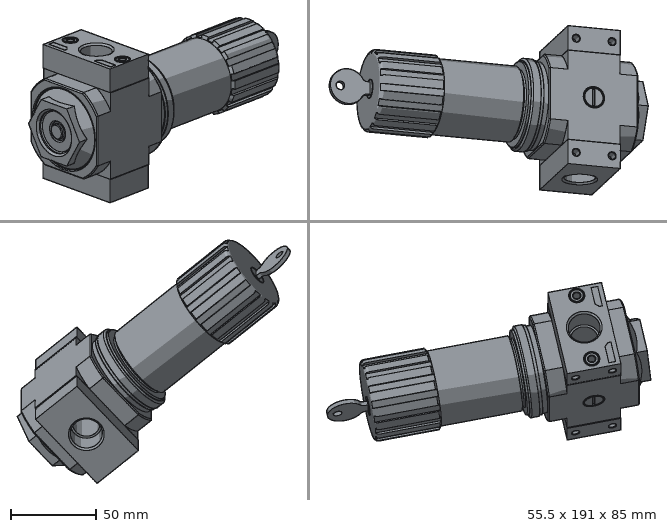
import cadquery as cq
import math


housing_width = 55.0
half_housing = housing_width / 2
block_length = 32.3
corner_radius = 31.7
housing_edge_chamfer = 0.8
cap_seat_radius = 25.2
cap_seat_depth = 2.0
cap_seat_chamfer = 0.5

overall_height = 85.0
plate_thickness = (overall_height - housing_width) / 2
plate_offset_x = -0.5
port_diameter = 16.0
port_counterbore_diameter = 18.7
port_mouth_diameter = 21.0
mark_depth = 0.2

tapped_core_diameter = 4.2
tapped_mouth_diameter = 5.0
tapped_depth = 7.6
drill_half_angle = 59.0
mounting_hole_y = 11.0
mounting_hole_z = 35.1

screw_spacing = 42.8
screw_diameter = 8.5
screw_mouth_diameter = 9.5

plug_diameter = 12.2
plug_mouth_diameter = 13.2
plug_depth = 3.8
plug_slot_width = 1.1
plug_slot_length = 10.1
plug_slot_depth = 1.0

cap_end_y = -35.7
hex_across_flats = 36.3
hex_turn_angle = 30.0
cone_base_radius = 24.6
cone_tip_radius = 18.0
cone_base_y = -26.7
cone_tip_y = -31.3
cap_recess_diameter = 26.4
cap_recess_mouth_diameter = 29.0
cap_recess_floor_diameter = 24.8
cap_recess_depth = 3.0
stem_hole_diameter = 13.2
stem_hole_floor_diameter = 11.5
stem_hole_depth = 0.8
stem_diameter = 9.5
stem_tip_diameter = 8.4
stem_length = 2.0

groove_radius = 26.2
lip_radius = 27.0
nut_chamfer_radius = 26.2
washer_radius = 25.4
neck_base_radius = 20.8
neck_radius = 20.2
lip_start_y = 30.5
nut_start_y = 32.5
nut_chamfer_y = 37.2
washer_start_y = 38.2
washer_end_y = 39.5
neck_start_y = 40.5
sleeve_start_y = 41.8

sleeve_radius = 22.5
knob_start_y = 90.5
knob_end_y = 130.5
knob_radius = 24.5
knob_start_bevel = 1.3
knob_end_round = 2.7
groove_count = 16
groove_width = 4.2
groove_floor_radius = 23.0

lock_x = -3.2
lock_diameter = 11.3
lock_height = 0.4
key_thickness = 2.7
key_end_y = cap_end_y + 191
key_bow_radius = 10.7
key_neck_width = 7.6
key_neck_fillet = 3.0
key_hole_diameter = 5.2
key_hole_y = 149.2


def revolve_about_y(points):
    """Solid of revolution about Y from (radius, y) points."""
    return cq.Workplane("XY").polyline(points).close().revolve(360, (0, 0, 0), (0, 1, 0))


def mouthed_cylinder(diameter, depth, mouth_diameter, tip_height=0.0):
    """Cylinder below Z = 0, bevelled at 45 degrees to a wider or narrower mouth; the tip is a cone."""
    radius = diameter / 2
    mouth_radius = mouth_diameter / 2
    profile = cq.Workplane("XZ").polyline([
        (0, 0),
        (mouth_radius, 0),
        (radius, -abs(mouth_radius - radius)),
        (radius, -depth),
        (0, -depth - tip_height),
    ])
    return profile.close().revolve(360, (0, 0, 0), (0, 1, 0))


def tapped_hole():
    """Cutter for a drilled and countersunk hole, entering downward from Z = 0."""
    tip_height = tapped_core_diameter / 2 / math.tan(math.radians(drill_half_angle))
    return mouthed_cylinder(tapped_core_diameter, tapped_depth, tapped_mouth_diameter, tip_height)


def face_minus_x(shape, x):
    """Turn a shape that points down from Z = 0 so that it enters a -X side at x."""
    return shape.rotate((0, 0, 0), (0, 1, 0), -90).translate((x, 0, 0))


def make_housing():
    block = cq.Workplane("XY").box(housing_width, block_length, housing_width)
    rounding = cq.Workplane("XZ").circle(corner_radius).extrude(half_housing, both=True)
    ends = cq.Workplane("XY").box(housing_width, housing_width, housing_width).intersect(rounding)
    ends = ends.faces("<Y or >Y").chamfer(housing_edge_chamfer)
    seat_floor_y = -half_housing + cap_seat_depth
    cap_seat = revolve_about_y([
        (0, seat_floor_y),
        (cap_seat_radius, seat_floor_y),
        (cap_seat_radius, -half_housing + cap_seat_chamfer),
        (cap_seat_radius + cap_seat_chamfer, -half_housing),
        (0, -half_housing),
    ])
    port = cq.Workplane("XY").circle(port_diameter / 2).extrude(half_housing, both=True)
    plug_hole = mouthed_cylinder(plug_diameter, plug_depth, plug_mouth_diameter)
    plug_hole = face_minus_x(plug_hole, -half_housing)
    return block.union(ends).cut(cap_seat).cut(port).cut(plug_hole)


def make_plate():
    """Plain upper plate with its port and its two mounting holes."""
    top_z = overall_height / 2
    plate = (
        cq.Workplane("XY")
        .box(housing_width, block_length, plate_thickness)
        .translate((plate_offset_x, 0, top_z - plate_thickness / 2))
    )
    port = mouthed_cylinder(port_counterbore_diameter, plate_thickness, port_mouth_diameter)
    plate = plate.cut(port.translate((0, 0, top_z)))
    side_hole = face_minus_x(tapped_hole(), plate_offset_x - half_housing)
    for y in (-mounting_hole_y, mounting_hole_y):
        plate = plate.cut(side_hole.translate((0, y, mounting_hole_z)))
    return plate


def make_flow_mark():
    """Shallow recess beside the screw on the -X half, with one sloping corner."""
    inner_x, slope_x, outer_x = -12.2, -14.3, -25.4
    near_y, slope_y, far_y = -9.4, -11.7, -13.4
    return (
        cq.Workplane("XY")
        .polyline([
            (outer_x, near_y),
            (slope_x, near_y),
            (inner_x, slope_y),
            (inner_x, far_y),
            (outer_x, far_y),
        ])
        .close()
        .extrude(-mark_depth)
    )


def make_upper_plate():
    top_z = overall_height / 2
    plate = make_plate()
    screw_hole = mouthed_cylinder(screw_diameter, plate_thickness, screw_mouth_diameter)
    for x in (-screw_spacing / 2, screw_spacing / 2):
        plate = plate.cut(screw_hole.translate((x, 0, top_z)))
    mark = make_flow_mark()
    for flow_mark in (mark, mark.mirror("YZ")):
        plate = plate.cut(flow_mark.translate((plate_offset_x, 0, top_z)))
    return plate


def make_screw(x):
    """Flush screw as long as the plate is thick, with a tapped hole in its head."""
    top_diameter = 2 * screw_diameter - screw_mouth_diameter
    screw = mouthed_cylinder(screw_diameter, plate_thickness, top_diameter).cut(tapped_hole())
    return screw.translate((x, 0, overall_height / 2))


def make_plug():
    face_diameter = 2 * plug_diameter - plug_mouth_diameter
    slot = cq.Workplane("XY").rect(plug_slot_length, plug_slot_width).extrude(-plug_slot_depth)
    plug = mouthed_cylinder(plug_diameter, plug_depth, face_diameter).cut(slot)
    return face_minus_x(plug, -half_housing)


def make_cap():
    seat_floor_y = -half_housing + cap_seat_depth
    base = revolve_about_y([
        (0, seat_floor_y),
        (cap_seat_radius, seat_floor_y),
        (cap_seat_radius, cone_base_y),
        (cone_base_radius, cone_base_y),
        (cone_tip_radius, cone_tip_y),
        (0, cone_tip_y),
    ])
    hexagon = (
        cq.Workplane("XZ")
        .workplane(offset=-seat_floor_y)
        .polygon(6, hex_across_flats, circumscribed=True)
        .extrude(seat_floor_y - cap_end_y)
        .rotate((0, 0, 0), (0, 1, 0), hex_turn_angle)
    )
    cap = base.union(hexagon)

    recess_radius = cap_recess_diameter / 2
    mouth_radius = cap_recess_mouth_diameter / 2
    floor_radius = cap_recess_floor_diameter / 2
    recess_floor_y = cap_end_y + cap_recess_depth
    stem_floor_y = recess_floor_y + stem_hole_depth
    recess = revolve_about_y([
        (0, cap_end_y),
        (mouth_radius, cap_end_y),
        (recess_radius, cap_end_y + mouth_radius - recess_radius),
        (recess_radius, recess_floor_y - recess_radius + floor_radius),
        (floor_radius, recess_floor_y),
        (stem_hole_diameter / 2, recess_floor_y),
        (stem_hole_floor_diameter / 2, stem_floor_y),
        (0, stem_floor_y),
    ])
    stem_end_y = stem_floor_y - stem_length
    stem_taper = (stem_diameter - stem_tip_diameter) / 2
    stem = revolve_about_y([
        (0, stem_floor_y),
        (stem_diameter / 2, stem_floor_y),
        (stem_diameter / 2, stem_end_y + stem_taper),
        (stem_tip_diameter / 2, stem_end_y),
        (0, stem_end_y),
    ])
    return cap.cut(recess).union(stem)


def make_ring_nut():
    return revolve_about_y([
        (0, half_housing),
        (groove_radius, half_housing),
        (groove_radius, lip_start_y),
        (lip_radius, lip_start_y),
        (lip_radius, nut_start_y),
        (half_housing, nut_start_y),
        (half_housing, nut_chamfer_y),
        (nut_chamfer_radius, washer_start_y),
        (washer_radius, washer_start_y),
        (washer_radius, washer_end_y),
        (neck_base_radius, washer_end_y),
        (neck_radius, neck_start_y),
        (neck_radius, sleeve_start_y),
        (0, sleeve_start_y),
    ])


def make_knob():
    knob = revolve_about_y([
        (0, knob_start_y),
        (sleeve_radius, knob_start_y),
        (knob_radius, knob_start_y + knob_start_bevel),
        (knob_radius, knob_end_y),
        (0, knob_end_y),
    ])
    knob = knob.faces(">Y").edges().fillet(knob_end_round)
    groove = (
        cq.Workplane("XY")
        .box(groove_width, knob_end_y - knob_start_y, knob_radius, centered=(True, False, False))
        .translate((0, knob_start_y, groove_floor_radius))
    )
    pitch_angle = 360 / groove_count
    for index in range(groove_count):
        angle = (index + 0.5) * pitch_angle
        knob = knob.cut(groove.rotate((0, 0, 0), (0, 1, 0), angle))
    sleeve = (
        cq.Workplane("XZ")
        .workplane(offset=-sleeve_start_y)
        .circle(sleeve_radius)
        .extrude(sleeve_start_y - knob_start_y)
    )
    return knob.union(sleeve)


def make_key():
    """Lock face with the key standing in it, as one body."""
    lock_end_y = knob_end_y + lock_height
    bow_y = key_end_y - key_bow_radius
    lock = (
        cq.Workplane("XZ")
        .workplane(offset=-knob_end_y)
        .center(lock_x, 0)
        .circle(lock_diameter / 2)
        .extrude(-lock_height)
    )
    bow = cq.Workplane("YZ").center(bow_y, 0).circle(key_bow_radius).extrude(key_thickness / 2, both=True)
    neck = (
        cq.Workplane("XY")
        .box(key_thickness, bow_y - lock_end_y, key_neck_width, centered=(True, False, True))
        .translate((0, lock_end_y, 0))
    )
    blade = bow.union(neck)
    junction_y = bow_y - math.sqrt(key_bow_radius**2 - (key_neck_width / 2)**2)
    selection_margin = 0.2
    near_junction = cq.selectors.BoxSelector(
        (-key_thickness, junction_y - selection_margin, -key_neck_width),
        (key_thickness, junction_y + selection_margin, key_neck_width),
    )
    blade = blade.edges("|X").edges(near_junction).fillet(key_neck_fillet)
    hole = (
        cq.Workplane("YZ")
        .center(key_hole_y, 0)
        .circle(key_hole_diameter / 2)
        .extrude(key_thickness, both=True)
    )
    return lock.union(blade.cut(hole).translate((lock_x, 0, 0)))


housing = make_housing()
upper_plate = make_upper_plate()
lower_plate = make_plate().mirror("XY")
screws = [make_screw(x) for x in (-screw_spacing / 2, screw_spacing / 2)]
plug = make_plug()
cap = make_cap()
ring_nut = make_ring_nut()
knob = make_knob()
key = make_key()

result = cq.Compound.makeCompound([
    housing.val(),
    upper_plate.val(),
    lower_plate.val(),
    *[screw.val() for screw in screws],
    plug.val(),
    cap.val(),
    ring_nut.val(),
    knob.val(),
    key.val(),
])